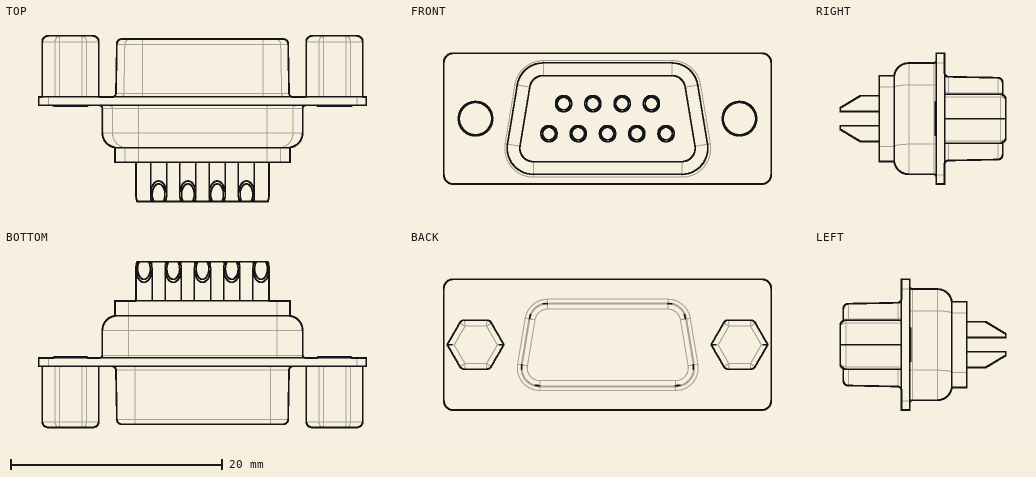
import cadquery as cq
import math


flange_width = 31.0
flange_height = 12.4
flange_thickness = 0.8
flange_corner_radius = 0.9

end_lean = math.radians(9.4)

insulator_half_height = 4.07
insulator_half_width = 7.85
insulator_corner_radius = 1.27
insulator_front = 5.4

shell_offset = 1.2
shell_depth = 4.0
shell_edge_radius = 1.4
shell_root_radius = 0.25

mating_half_height = 3.98
mating_half_width = 7.88
mating_corner_radius = 1.8
mating_depth = 5.5
mating_draft = 1.1
mating_edge_radius = 0.5
mating_root_radius = 0.35

stud_spacing = 24.98
stud_across_flats = 4.64
stud_corner_radius = 0.48
stud_height = 5.8
stud_end_radius = 0.55
stud_tail_diameter = 3.25
stud_tail_height = 0.1
stud_tail_chamfer = 0.09

contact_pitch = 2.77
contact_row_spacing = 2.84
contacts_in_upper_row = 4
contacts_in_lower_row = 5
contact_diameter = 1.53
cup_bore_diameter = 1.2
contact_tip = 9.1
cup_bevel_length = 1.95
cup_lip_height = 0.36


def d_outline(half_height, half_width, corner_radius):
    """Rounded trapezoid sketch, wider at the bottom."""
    lean = half_height * math.tan(end_lean)
    corners = [
        (-half_width - lean, -half_height),
        (half_width + lean, -half_height),
        (half_width - lean, half_height),
        (-half_width + lean, half_height),
    ]
    return cq.Sketch().polygon(corners + corners[:1]).vertices().fillet(corner_radius)


def plane_at(y):
    """XZ workplane at the given Y; positive extrusion runs towards -Y."""
    return cq.Workplane("XZ", origin=(0, y, 0))


def root_edges(y):
    """Selector for the edges of the D-shaped root lying on a flange face.

    The box stops between the front shell and the flange outline.
    """
    reach_x = stud_spacing / 2
    reach_z = (flange_height / 2 + insulator_half_height + shell_offset) / 2
    margin = flange_thickness / 4
    return cq.selectors.BoxSelector(
        (-reach_x, y - margin, -reach_z),
        (reach_x, y + margin, reach_z),
    )


def make_flange():
    plate = plane_at(0).rect(flange_width, flange_height).extrude(-flange_thickness)
    return plate.edges("|Y").fillet(flange_corner_radius)


def make_front_shell():
    outline = d_outline(
        insulator_half_height + shell_offset,
        insulator_half_width + shell_offset / math.cos(end_lean),
        insulator_corner_radius + shell_offset,
    )
    shell = plane_at(0).placeSketch(outline).extrude(shell_depth)
    return shell.faces("<Y").edges().fillet(shell_edge_radius)


def make_mating_shell():
    outline = d_outline(mating_half_height, mating_half_width, mating_corner_radius)
    shell = plane_at(flange_thickness).placeSketch(outline).extrude(-mating_depth, taper=mating_draft)
    return shell.faces(">Y").edges().fillet(mating_edge_radius)


def make_insulator():
    outline = d_outline(insulator_half_height, insulator_half_width, insulator_corner_radius)
    return plane_at(0).placeSketch(outline).extrude(insulator_front)


def make_stud(x):
    """Hex stud with rounded upper and lower corners and a low tail on the front face."""
    across_corners = stud_across_flats / math.cos(math.radians(30))
    hexagon = plane_at(flange_thickness).polygon(6, across_corners).extrude(-stud_height)
    outer_corners = hexagon.edges("|Y").edges(">Z or <Z")
    stud = outer_corners.fillet(stud_corner_radius).faces(">Y").edges().fillet(stud_end_radius)
    tail = plane_at(0).circle(stud_tail_diameter / 2).extrude(stud_tail_height)
    tail = tail.faces("<Y").edges().chamfer(stud_tail_chamfer)
    return stud.union(tail).translate((x, 0, 0))


def make_contact(x, z, bevel_side):
    """Bored solder cup, bevelled on its upper (+1) or lower (-1) side."""
    radius = contact_diameter / 2
    length = contact_tip - insulator_front
    pin = plane_at(0).circle(radius).extrude(contact_tip)
    bore = plane_at(-insulator_front).circle(cup_bore_diameter / 2).extrude(length)
    bevel = (
        cq.Workplane("YZ")
        .moveTo(-contact_tip + cup_bevel_length, bevel_side * radius)
        .lineTo(-contact_tip, bevel_side * (cup_lip_height - radius))
        .lineTo(-contact_tip, bevel_side * radius)
        .close()
        .extrude(radius, both=True)
    )
    return pin.cut(bore).cut(bevel).translate((x, 0, z))


def make_contact_row(count, side):
    """List of contacts in the upper (+1) or lower (-1) row."""
    first_x = -contact_pitch * (count - 1) / 2
    z = side * contact_row_spacing / 2
    return [make_contact(first_x + i * contact_pitch, z, side) for i in range(count)]


body = make_flange().union(make_front_shell()).union(make_mating_shell())
body = body.edges(root_edges(0)).fillet(shell_root_radius)
body = body.edges(root_edges(flange_thickness)).fillet(mating_root_radius)
body = body.union(make_insulator())

for stud_x in (-stud_spacing / 2, stud_spacing / 2):
    body = body.union(make_stud(stud_x))

contacts = make_contact_row(contacts_in_upper_row, 1) + make_contact_row(contacts_in_lower_row, -1)
for contact in contacts:
    body = body.union(contact)

result = body